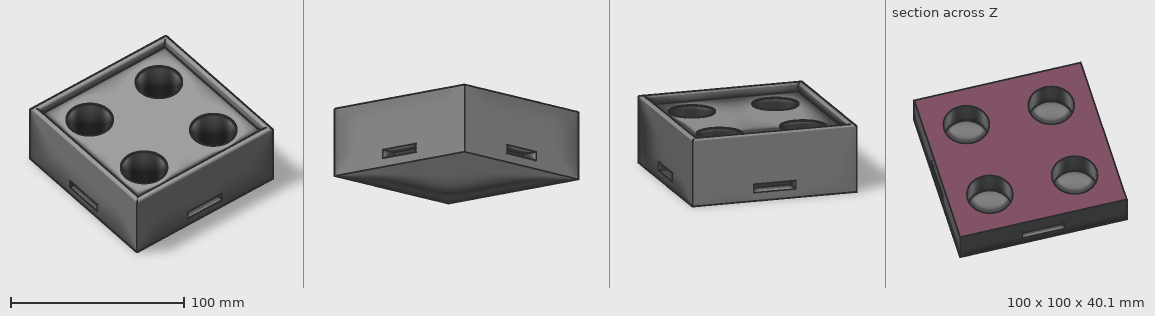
import cadquery as cq

side = 100
height = 40.1
rim_edge = 1.3

rim_width = 3 * rim_edge
recess_side = side - 2 * rim_width
recess_depth = 5.1
recess_floor = height - recess_depth

pocket_diameter = 26.2
pocket_pitch = 50.8
pocket_floor = 5.1
pocket_chamfer = 0.5

slot_width = 25.4
slot_height = 5.1
slot_bottom = 5.1
slot_depth = 10


def make_block():
    """Square block with its outer top edges rounded."""
    block = cq.Workplane("XY").box(side, side, height, centered=(True, True, False))
    return block.faces(">Z").edges().fillet(rim_edge)


def cut_recess(body):
    """Sink the top and round the inner edges of the rim."""
    body = body.cut(
        cq.Workplane("XY", origin=(0, 0, recess_floor)).box(
            recess_side, recess_side, recess_depth, centered=(True, True, False)
        )
    )
    reach = recess_side / 2 + rim_edge / 2
    inner_edges = cq.selectors.BoxSelector(
        (-reach, -reach, height - rim_edge / 2), (reach, reach, height + rim_edge / 2)
    )
    return body.edges(inner_edges).fillet(rim_edge)


def cut_pockets(body):
    """Four blind pockets with chamfered mouths."""
    pockets = (
        cq.Workplane("XY", origin=(0, 0, pocket_floor))
        .rarray(pocket_pitch, pocket_pitch, 2, 2)
        .circle(pocket_diameter / 2)
        .extrude(recess_floor - pocket_floor)
    )
    mouth = cq.Solid.makeCone(
        pocket_diameter / 2, pocket_diameter / 2 + pocket_chamfer, pocket_chamfer
    )
    mouths = (
        cq.Workplane("XY", origin=(0, 0, recess_floor - pocket_chamfer))
        .rarray(pocket_pitch, pocket_pitch, 2, 2)
        .eachpoint(lambda place: mouth.located(place))
    )
    return body.cut(pockets).cut(mouths)


def cut_side_slots(body):
    """The same blind slot in each of the four sides."""
    slot = cq.Workplane("XY", origin=(0, -side / 2, slot_bottom)).box(
        slot_width, slot_depth, slot_height, centered=(True, False, False)
    )
    for angle in (0, 90, 180, 270):
        body = body.cut(slot.rotate((0, 0, 0), (0, 0, 1), angle))
    return body


result = cut_side_slots(cut_pockets(cut_recess(make_block())))